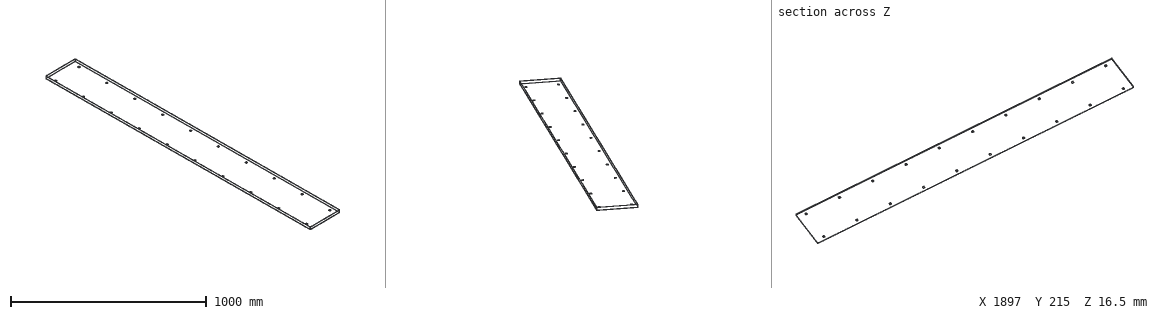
import cadquery as cq

length = 1897.0
width = 215.0
height = 16.5

sheet_thickness = 1.1
bend_radius = sheet_thickness
corner_notch = 1.42

hole_side = 9.0
holes_per_row = 10
row_spacing = 170.0
end_margin = 50.0
hole_pitch = (length - 2 * end_margin) / (holes_per_row - 1)


def make_tray():
    """Flat floor with an upright wall along each edge, rounded on the outside of the bends."""
    outer = (
        cq.Workplane("XY")
        .box(length, width, height, centered=(True, True, False))
        .faces("<Z")
        .edges()
        .fillet(bend_radius)
    )
    cavity = (
        cq.Workplane("XY")
        .workplane(offset=sheet_thickness)
        .rect(length - 2 * sheet_thickness, width - 2 * sheet_thickness)
        .extrude(height)
    )
    return outer.cut(cavity)


def make_corner_cutters():
    """Small square columns that separate neighbouring walls at the four corners."""
    return (
        cq.Workplane("XY")
        .rarray(length - corner_notch, width - corner_notch, 2, 2)
        .rect(corner_notch, corner_notch)
        .extrude(height)
    )


def make_hole_cutters():
    """Square pins standing in two rows that pass right through the floor."""
    return (
        cq.Workplane("XY")
        .rarray(hole_pitch, row_spacing, holes_per_row, 2)
        .rect(hole_side, hole_side)
        .extrude(height)
    )


result = make_tray().cut(make_corner_cutters()).cut(make_hole_cutters())